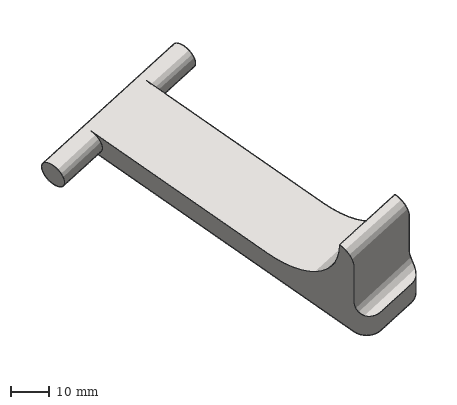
import cadquery as cq
import math

length = 100.0
height = 33.0
arm_width = 22.0
pin_length = 52.0
pin_diameter = 8.0
edge_radius = 5.0
saddle_radius = height - pin_diameter

pin_radius = pin_diameter / 2
upright_back_x = length - edge_radius
crest_x = upright_back_x - edge_radius
saddle_start_x = crest_x - saddle_radius
diagonal = math.sqrt(0.5)


def extrude_centered(profile, width):
    """Extrude an XZ profile symmetrically about Y = 0."""
    return profile.extrude(width / 2, both=True)


def make_pin():
    profile = cq.Workplane("XZ").center(pin_radius, pin_radius).circle(pin_radius)
    return extrude_centered(profile, pin_length)


def make_arm():
    """Flat arm sweeping up through a concave saddle to a rounded crest."""
    saddle_middle = (
        saddle_start_x + saddle_radius * diagonal,
        height - saddle_radius * diagonal,
    )
    crest_middle = (
        crest_x + edge_radius * diagonal,
        height - edge_radius + edge_radius * diagonal,
    )
    profile = (
        cq.Workplane("XZ")
        .moveTo(pin_radius, 0)
        .lineTo(upright_back_x, 0)
        .lineTo(upright_back_x, height - edge_radius)
        .threePointArc(crest_middle, (crest_x, height))
        .threePointArc(saddle_middle, (saddle_start_x, pin_diameter))
        .lineTo(pin_radius, pin_diameter)
        .close()
    )
    return extrude_centered(profile, arm_width)


def make_lip():
    """Lip behind the upright, filleted into it and rounded at its corners."""
    fillet_top = pin_diameter + edge_radius
    fillet_middle = (
        length - edge_radius * diagonal,
        fillet_top - edge_radius * diagonal,
    )
    profile = (
        cq.Workplane("XZ")
        .moveTo(upright_back_x, 0)
        .lineTo(length, 0)
        .lineTo(length, pin_diameter)
        .threePointArc(fillet_middle, (upright_back_x, fillet_top))
        .close()
    )
    plan_length = 3 * edge_radius
    plan = (
        cq.Workplane("XY")
        .center(length - plan_length / 2, 0)
        .rect(plan_length, arm_width)
        .extrude(height)
        .edges("|Z")
        .fillet(edge_radius)
    )
    return extrude_centered(profile, arm_width).intersect(plan)


result = make_arm().union(make_lip()).union(make_pin())